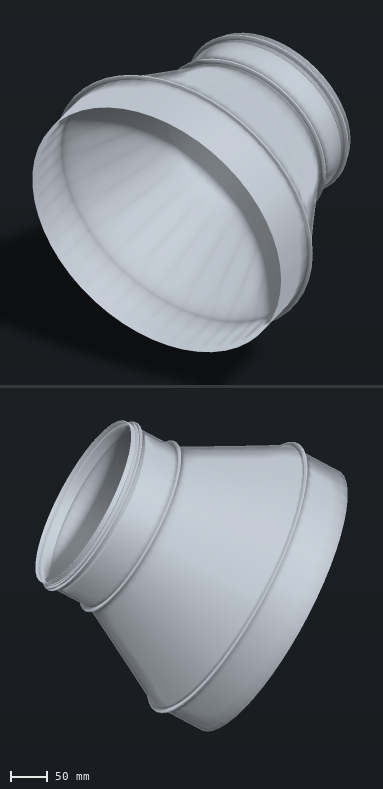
import cadquery as cq

total_length = 300.99
sheet = 0.5

wide_diameter = 401.5
narrow_diameter = 248.9

sleeve_length = 69.8
wide_rim_length = 5.0
narrow_rim_length = 5.0
spigot_length = 75.3

seam_height = 7.0
seam_width = 2.4
wide_hem_clearance = 1.0
narrow_hem_clearance = 1.5

groove_floor_diameter = 244.1
groove_start = 6.5
front_taper = 2.0
groove_end = 24.2
back_taper = 2.5

band_diameter = 245.3
body_diameter = 247.7
front_lip_diameter = 254.3
back_lip_diameter = 259.3
lip_thickness = 1.2
front_lip_place = 10.2
back_lip_place = 14.2

wide_radius = wide_diameter / 2
narrow_radius = narrow_diameter / 2
wide_seam_y = sleeve_length
narrow_seam_y = total_length - spigot_length
hem_bend = seam_width / 2
fold_bend = hem_bend - sheet
floor_radius = groove_floor_diameter / 2
groove_front_y = total_length - groove_start
floor_front_y = groove_front_y - front_taper
groove_back_y = total_length - groove_end
floor_back_y = groove_back_y + back_taper


def revolve(profile):
    """Spin a profile of (radius, y) points about the Y axis."""
    return profile.close().revolve(360, (0, 0, 0), (0, 1, 0))


def flange_tip(profile, radius, y, side):
    """Draw the rounded flange held in a seam; the cone lies on the given side along Y."""
    bend_radius = radius + seam_height - hem_bend
    return (
        profile.lineTo(bend_radius, y - side * fold_bend)
        .threePointArc((bend_radius + fold_bend, y), (bend_radius, y + side * fold_bend))
    )


def make_hem(radius, y, side, clearance):
    """Fold a sheet around a flange; the cone lies on the given side along Y."""
    bend_radius = radius + seam_height - hem_bend
    edge_radius = radius + clearance
    outer_offset = side * hem_bend
    inner_offset = side * fold_bend
    profile = (
        cq.Workplane("XY")
        .moveTo(radius, y + inner_offset)
        .lineTo(radius, y + outer_offset)
        .lineTo(bend_radius, y + outer_offset)
        .threePointArc((bend_radius + hem_bend, y), (bend_radius, y - outer_offset))
        .lineTo(edge_radius, y - outer_offset)
        .lineTo(edge_radius, y - inner_offset)
        .lineTo(bend_radius, y - inner_offset)
        .threePointArc((bend_radius + fold_bend, y), (bend_radius, y + inner_offset))
    )
    return revolve(profile)


def make_sleeve():
    """Straight wide duct with a flange at its inner end."""
    profile = (
        cq.Workplane("XY")
        .moveTo(wide_radius - sheet, 0)
        .lineTo(wide_radius, 0)
        .lineTo(wide_radius, wide_seam_y - fold_bend)
    )
    profile = flange_tip(profile, wide_radius, wide_seam_y, 1)
    return revolve(profile.lineTo(wide_radius - sheet, wide_seam_y + fold_bend))


def make_cone():
    """Conical duct with a short straight rim and a folded hem at each end."""
    wide_end_y = wide_seam_y + fold_bend
    wide_rim_y = wide_seam_y + wide_rim_length
    narrow_rim_y = narrow_seam_y - narrow_rim_length
    narrow_end_y = narrow_seam_y - fold_bend
    shell = revolve(
        cq.Workplane("XY")
        .moveTo(wide_radius - sheet, wide_end_y)
        .lineTo(wide_radius, wide_end_y)
        .lineTo(wide_radius, wide_rim_y)
        .lineTo(narrow_radius, narrow_rim_y)
        .lineTo(narrow_radius, narrow_end_y)
        .lineTo(narrow_radius - sheet, narrow_end_y)
        .lineTo(narrow_radius - sheet, narrow_rim_y)
        .lineTo(wide_radius - sheet, wide_rim_y)
    )
    wide_hem = make_hem(wide_radius, wide_seam_y, 1, wide_hem_clearance)
    narrow_hem = make_hem(narrow_radius, narrow_seam_y, -1, narrow_hem_clearance)
    return shell.union(wide_hem).union(narrow_hem)


def make_spigot():
    """Narrow duct with a flange at the cone and a gasket groove rolled in near its open end."""
    inner_radius = narrow_radius - sheet
    inner_floor = floor_radius - sheet
    profile = (
        cq.Workplane("XY")
        .moveTo(inner_radius, total_length)
        .lineTo(narrow_radius, total_length)
        .lineTo(narrow_radius, groove_front_y)
        .lineTo(floor_radius, floor_front_y)
        .lineTo(floor_radius, floor_back_y)
        .lineTo(narrow_radius, groove_back_y)
        .lineTo(narrow_radius, narrow_seam_y + fold_bend)
    )
    profile = flange_tip(profile, narrow_radius, narrow_seam_y, -1)
    profile = (
        profile.lineTo(inner_radius, narrow_seam_y - fold_bend)
        .lineTo(inner_radius, groove_back_y)
        .lineTo(inner_floor, floor_back_y)
        .lineTo(inner_floor, floor_front_y)
        .lineTo(inner_radius, groove_front_y)
    )
    return revolve(profile)


def make_gasket():
    """Ring filling the groove floor: a thick part with two lips, then a thin band."""
    body_radius = body_diameter / 2
    band_radius = band_diameter / 2
    profile = (
        cq.Workplane("XY")
        .moveTo(floor_radius, floor_back_y)
        .lineTo(floor_radius, floor_front_y)
        .lineTo(body_radius, floor_front_y)
    )
    lips = [(front_lip_place, front_lip_diameter), (back_lip_place, back_lip_diameter)]
    for place, diameter in lips:
        lip_front_y = total_length - place + lip_thickness / 2
        lip_back_y = lip_front_y - lip_thickness
        profile = (
            profile.lineTo(body_radius, lip_front_y)
            .lineTo(diameter / 2, lip_front_y)
            .lineTo(diameter / 2, lip_back_y)
            .lineTo(body_radius, lip_back_y)
        )
    profile = profile.lineTo(band_radius, lip_back_y).lineTo(band_radius, floor_back_y)
    return revolve(profile)


sleeve = make_sleeve()
cone = make_cone()
spigot = make_spigot()
gasket = make_gasket()

result = cq.Compound.makeCompound([sleeve.val(), cone.val(), spigot.val(), gasket.val()])